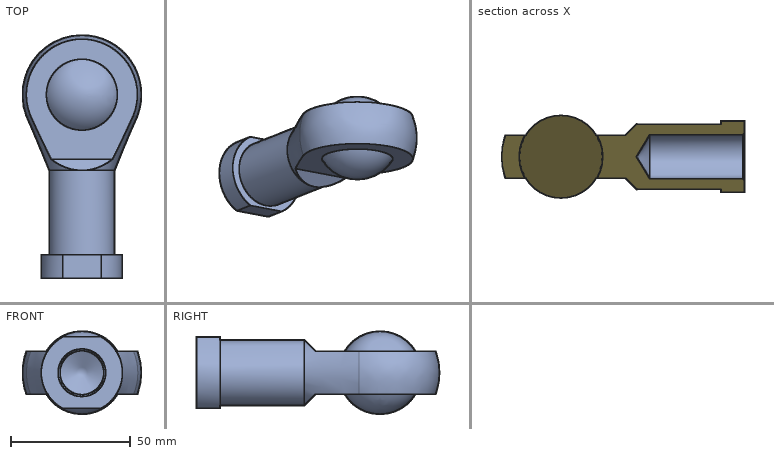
import cadquery as cq
import math


overall_length = 101.9
head_radius = 25.0
head_thickness = 18.1
cone_start = 8.9
neck_distance = 31.7
shank_radius = 13.8
collar_radius = 17.0
collar_length = 10.0
collar_across_flats = 30.0
bore_radius = 9.2
bore_chamfer = 0.8
bore_depth = 39.8
drill_point_angle = 118.0
ball_radius = 17.4

half_thickness = head_thickness / 2
shank_end = head_radius - overall_length
collar_start = shank_end + collar_length
cone_start_radius = math.sqrt(head_radius**2 - cone_start**2)
ramp_length = shank_radius - half_thickness
ramp_start = -neck_distance + ramp_length


def revolve_about_y(profile):
    return profile.close().revolve(360, (0, 0, 0), (0, 1, 0))


def turned_blank():
    """Spherical head, conical neck, shank and collar turned about Y."""
    profile = (
        cq.Workplane("XY")
        .moveTo(0, head_radius)
        .threePointArc((head_radius, 0), (cone_start_radius, -cone_start))
        .lineTo(shank_radius, -neck_distance)
        .lineTo(shank_radius, collar_start)
        .lineTo(collar_radius, collar_start)
        .lineTo(collar_radius, shank_end)
        .lineTo(0, shank_end)
    )
    return revolve_about_y(profile)


def head_envelope():
    """Side outline that flattens the head, then ramps out to clear the shank and collar."""
    half_flats = collar_across_flats / 2
    upper = [
        (head_radius, half_thickness),
        (ramp_start, half_thickness),
        (-neck_distance, shank_radius),
        (collar_start, shank_radius),
        (collar_start, half_flats),
        (shank_end, half_flats),
    ]
    lower = [(y, -z) for y, z in reversed(upper)]
    return cq.Workplane("YZ").polyline(upper + lower).close().extrude(head_radius, both=True)


def shank_bore():
    """Blind bore with a chamfered mouth and a drill-point bottom."""
    bore_bottom = shank_end + bore_depth
    point_length = bore_radius / math.tan(math.radians(drill_point_angle / 2))
    profile = (
        cq.Workplane("XY")
        .moveTo(0, shank_end)
        .lineTo(bore_radius + bore_chamfer, shank_end)
        .lineTo(bore_radius, shank_end + bore_chamfer)
        .lineTo(bore_radius, bore_bottom)
        .lineTo(0, bore_bottom + point_length)
    )
    return revolve_about_y(profile)


def make_ball():
    return cq.Workplane("XY").sphere(ball_radius)


def make_housing():
    """Eye housing with a spherical socket that matches the ball."""
    body = turned_blank().intersect(head_envelope())
    return body.cut(shank_bore()).cut(make_ball())


housing = make_housing()
ball = make_ball()

result = cq.Compound.makeCompound([housing.solids().val(), ball.val()])